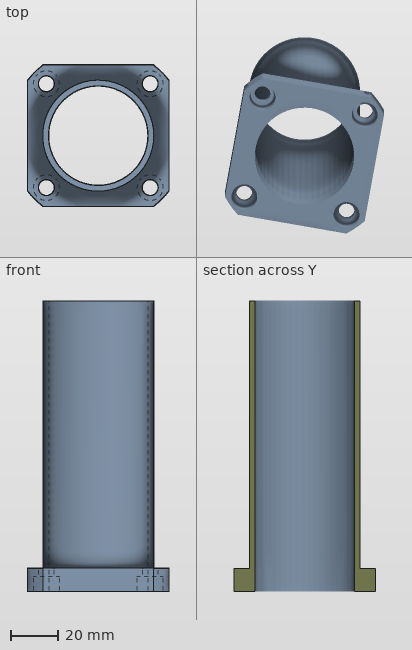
import cadquery as cq

total_height = 123.0
flange_side = 60.0
flange_thickness = 10.0

tube_diameter = 47.0
bore_diameter = 42.0

corner_circle_diameter = 76.0

hole_diameter = 6.6
hole_spacing = 43.9
counterbore_diameter = 11.0
counterbore_depth = 6.4


def make_flange():
    """Square plate whose corners are rounded off by a large concentric circle."""
    plate = cq.Workplane("XY").rect(flange_side, flange_side).extrude(flange_thickness)
    corner_disc = cq.Workplane("XY").circle(corner_circle_diameter / 2).extrude(flange_thickness)
    return plate.intersect(corner_disc)


def make_tube_body():
    """Solid cylinder over the full height; the bore is cut later."""
    return cq.Workplane("XY").circle(tube_diameter / 2).extrude(total_height)


def make_bore():
    return cq.Workplane("XY").circle(bore_diameter / 2).extrude(total_height)


def make_hole_pattern(diameter, depth):
    """Four cylinders on a square pattern, rising from the underside of the flange."""
    return (
        cq.Workplane("XY")
        .rect(hole_spacing, hole_spacing, forConstruction=True)
        .vertices()
        .circle(diameter / 2)
        .extrude(depth)
    )


result = make_flange().union(make_tube_body()).cut(make_bore())
result = result.cut(make_hole_pattern(hole_diameter, flange_thickness))
result = result.cut(make_hole_pattern(counterbore_diameter, counterbore_depth))